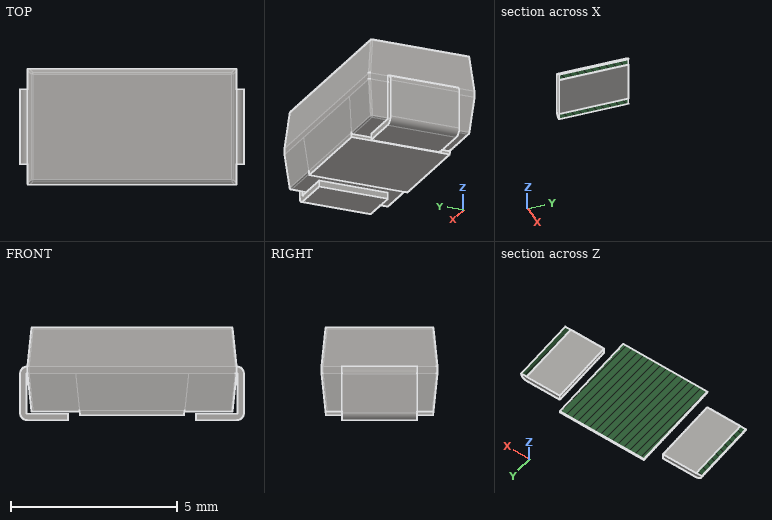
import cadquery as cq
import math

body_length = 6.30
body_width = 3.50
top_z = 2.80
body_bottom_z = 0.25
draft_angle = 6.0
edge_radius = 0.05

belt_top_z = 1.62
belt_height = 0.20
belt_bottom_z = belt_top_z - belt_height

pad_length_at_belt = 3.40
pad_bottom_z = 0.15

lead_span = 6.74
lead_width = 2.26
lead_thickness = 0.20
lead_outer_radius = (lead_span - body_length) / 2
lead_inner_radius = lead_outer_radius - lead_thickness
foot_length = 1.45


def tapered_block(length, width, start_z, end_z):
    """Block at its full size at start_z that narrows by the draft angle towards end_z."""
    return (
        cq.Workplane("XY")
        .workplane(offset=start_z)
        .rect(length, width)
        .extrude(end_z - start_z, taper=draft_angle)
    )


def make_body():
    """Moulded body: belt with drafted halves above and below, rounded edges and a bottom pad."""
    belt = (
        cq.Workplane("XY")
        .workplane(offset=belt_bottom_z)
        .rect(body_length, body_width)
        .extrude(belt_height)
    )
    upper_half = tapered_block(body_length, body_width, belt_top_z, top_z)
    lower_half = tapered_block(body_length, body_width, belt_bottom_z, body_bottom_z)
    shell = belt.union(upper_half).union(lower_half)

    corner_edges = shell.edges("not #Z")
    end_face_edges = shell.faces("<Z or >Z").edges()
    shell = shell.newObject(corner_edges.vals() + end_face_edges.vals()).fillet(edge_radius)

    pad = tapered_block(pad_length_at_belt, body_width, belt_bottom_z, pad_bottom_z)
    return shell.union(pad, clean=False)


def make_lead(side):
    """C-shaped lead from the belt face, down past the body and back under it; side is -1 or 1."""
    outer_x = lead_span / 2
    inner_x = outer_x - lead_thickness
    bend_x = outer_x - lead_outer_radius
    foot_end_x = outer_x - foot_length
    upper_bend_z = belt_top_z - lead_outer_radius
    lower_bend_z = lead_outer_radius
    outer_mid = lead_outer_radius * math.sqrt(0.5)
    inner_mid = lead_inner_radius * math.sqrt(0.5)

    return (
        cq.Workplane("XZ")
        .moveTo(side * bend_x, belt_top_z)
        .threePointArc(
            (side * (bend_x + outer_mid), upper_bend_z + outer_mid),
            (side * outer_x, upper_bend_z),
        )
        .lineTo(side * outer_x, lower_bend_z)
        .threePointArc(
            (side * (bend_x + outer_mid), lower_bend_z - outer_mid),
            (side * bend_x, 0),
        )
        .lineTo(side * foot_end_x, 0)
        .lineTo(side * foot_end_x, lead_thickness)
        .lineTo(side * bend_x, lead_thickness)
        .threePointArc(
            (side * (bend_x + inner_mid), lower_bend_z - inner_mid),
            (side * inner_x, lower_bend_z),
        )
        .lineTo(side * inner_x, upper_bend_z)
        .threePointArc(
            (side * (bend_x + inner_mid), upper_bend_z + inner_mid),
            (side * bend_x, belt_top_z - lead_thickness),
        )
        .close()
        .extrude(lead_width / 2, both=True)
    )


body = make_body()
leads = [make_lead(side) for side in (-1, 1)]

result = cq.Compound.makeCompound([body.val(), *[lead.val() for lead in leads]])